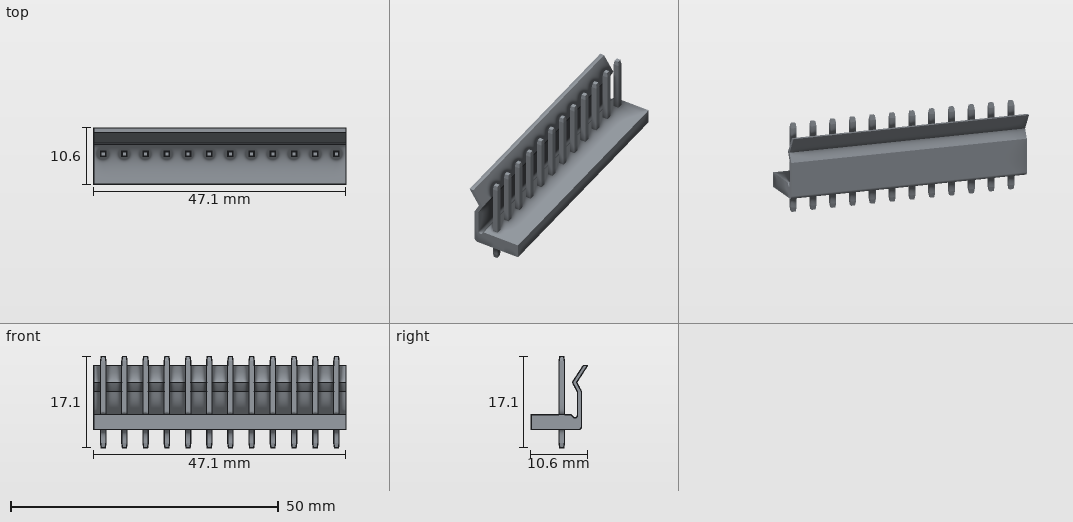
import cadquery as cq
import math

pin_count = 12
pin_pitch = 3.96
pin_width = 1.03
pin_tip_width = 0.76
pin_taper_length = 0.86
pin_bottom = -3.4
pin_top = 13.69

end_margin = 1.78
base_height = 2.84
base_front = -5.73
bottom_edge_radius = 0.6

wall_thickness = 0.82
wall_back = 3.72
wall_front = wall_back - wall_thickness
wall_bend_height = 7.1
latch_height = 8.85
latch_front = 1.98
lip_top = 12.0
lip_back = 4.84

groove_width = 1.14
groove_apex_depth = 1.4
groove_radius = 0.43

pin_span = (pin_count - 1) * pin_pitch
housing_length = pin_span + 2 * end_margin
groove_apex_height = base_height - groove_apex_depth
groove_edge = wall_front - groove_width


def make_housing():
    """Base, locking wall and latch as one section extruded along the pin row."""
    outline = [
        (base_front, 0),
        (wall_back, 0),
        (wall_back, wall_bend_height),
        (latch_front + wall_thickness, latch_height),
        (lip_back, lip_top),
        (lip_back - wall_thickness, lip_top),
        (latch_front, latch_height),
        (wall_front, wall_bend_height),
        (wall_front, groove_apex_height),
        (groove_edge, base_height),
        (base_front, base_height),
    ]
    housing = (
        cq.Workplane("YZ", origin=(-housing_length / 2, 0, 0))
        .polyline(outline)
        .close()
        .extrude(housing_length)
    )
    bottom_edge = cq.NearestToPointSelector((0, wall_back, 0))
    groove_bottom = cq.NearestToPointSelector((0, wall_front, groove_apex_height))
    housing = housing.edges("|X").edges(bottom_edge).fillet(bottom_edge_radius)
    return housing.edges("|X").edges(groove_bottom).fillet(groove_radius)


def make_pin(x):
    """Square pin through the base, tapered at both ends."""
    body_bottom = pin_bottom + pin_taper_length
    body_top = pin_top - pin_taper_length
    taper_angle = math.degrees(math.atan2((pin_width - pin_tip_width) / 2, pin_taper_length))

    def square(height):
        return cq.Workplane("XY", origin=(x, 0, height)).rect(pin_width, pin_width)

    body = square(body_bottom).extrude(body_top - body_bottom)
    top_tip = square(body_top).extrude(pin_taper_length, taper=taper_angle)
    bottom_tip = square(body_bottom).extrude(-pin_taper_length, taper=taper_angle)
    return body.union(top_tip).union(bottom_tip)


result = make_housing()
for index in range(pin_count):
    result = result.union(make_pin(index * pin_pitch - pin_span / 2))